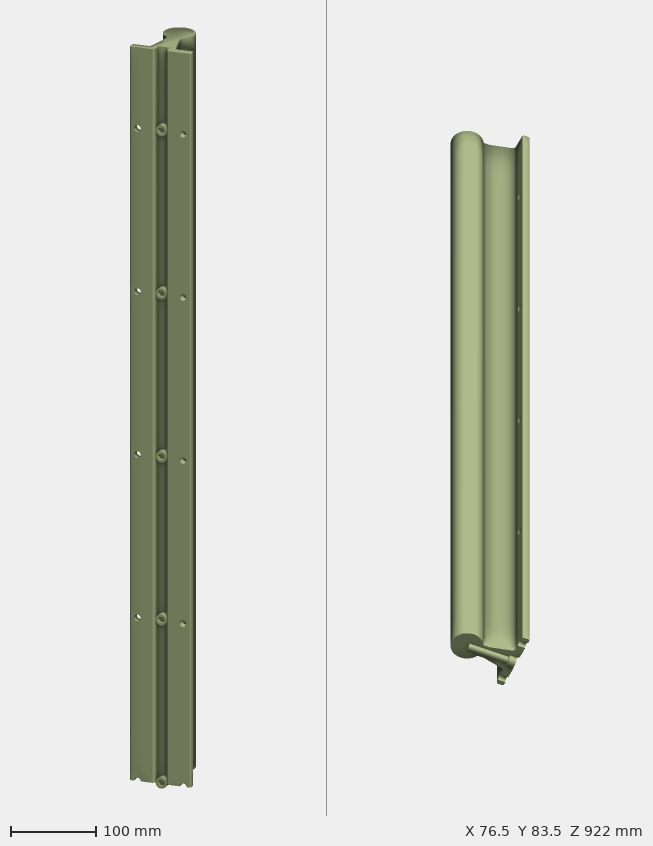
import cadquery as cq
import math

OVERALL_LENGTH = 922.0

SHAFT_DIAMETER = 39.0
SHAFT_AXIS_Y = 64.0

BOLT_COUNT = 5
TOP_MARGIN = 101.0
SHANK_DIAMETER = 9.0
SHANK_TIP_Y = 63.0
HEAD_DIAMETER = 14.0
HEAD_HEIGHT = 9.0
SOCKET_ACROSS_FLATS = 7.0
SOCKET_DEPTH = 5.0

RAIL_LENGTH = OVERALL_LENGTH - HEAD_DIAMETER / 2
BASE_WIDTH = 76.5
FLANGE_THICKNESS = 9.0
FLANGE_CORNER_RADIUS = 2.0
WEB_FOOT_WIDTH = 31.0
WEB_FOOT_RADIUS = 5.0
NECK_WIDTH = 17.5
NECK_SHOULDER_Y = 39.0

SLOT_WIDTH = 15.0
SLOT_MOUTH_WIDTH = 19.0
SLOT_MOUTH_HEIGHT = 2.0
SLOT_DEPTH = 12.0

MOUNTING_HOLE_DIAMETER = 8.0
MOUNTING_HOLE_SPACING = 57.0

BOLT_PITCH = (RAIL_LENGTH - TOP_MARGIN) / (BOLT_COUNT - 1)
BOLT_STATIONS = [i * BOLT_PITCH for i in range(BOLT_COUNT)]
HEAD_FACE_Y = SLOT_DEPTH - HEAD_HEIGHT


def cylinder_along_y(diameter, x, z, start_y, end_y):
    plane = cq.Workplane("XZ", origin=(x, start_y, z))
    return plane.circle(diameter / 2).extrude(start_y - end_y)


def shank(z):
    """Bolt shank, also used to cut its matching hole."""
    return cylinder_along_y(SHANK_DIAMETER, 0, z, SLOT_DEPTH, SHANK_TIP_Y)


def make_bolt(z):
    """Socket head bolt whose head bears on the slot roof."""
    head = cylinder_along_y(HEAD_DIAMETER, 0, z, HEAD_FACE_Y, SLOT_DEPTH)
    socket_across_corners = SOCKET_ACROSS_FLATS / math.cos(math.pi / 6)
    socket = (
        cq.Workplane("XZ", origin=(0, HEAD_FACE_Y, z))
        .polygon(6, socket_across_corners)
        .extrude(-SOCKET_DEPTH)
    )
    return head.union(shank(z)).cut(socket)


def make_shaft():
    """Round shaft with a blind hole for every bolt."""
    shaft = cq.Workplane("XY").center(0, SHAFT_AXIS_Y).circle(SHAFT_DIAMETER / 2).extrude(RAIL_LENGTH)
    for z in BOLT_STATIONS:
        shaft = shaft.cut(shank(z))
    return shaft


def round_long_edges(rail, x, y, radius):
    """Fillet the pair of lengthwise edges at (-x, y) and (x, y)."""
    for edge_x in (-x, x):
        selector = cq.selectors.NearestToPointSelector((edge_x, y, RAIL_LENGTH / 2))
        rail = rail.edges(selector).fillet(radius)
    return rail


def make_rail_blank():
    """Extruded T-shaped rail with a cradle on top for the shaft."""
    half_base = BASE_WIDTH / 2
    half_foot = WEB_FOOT_WIDTH / 2
    half_neck = NECK_WIDTH / 2
    shaft_radius = SHAFT_DIAMETER / 2
    cradle_rim_y = SHAFT_AXIS_Y - math.sqrt(shaft_radius**2 - half_neck**2)
    cradle_bottom_y = SHAFT_AXIS_Y - shaft_radius
    blank = (
        cq.Workplane("XY")
        .moveTo(-half_base, 0)
        .lineTo(half_base, 0)
        .lineTo(half_base, FLANGE_THICKNESS)
        .lineTo(half_foot, FLANGE_THICKNESS)
        .lineTo(half_neck, NECK_SHOULDER_Y)
        .lineTo(half_neck, cradle_rim_y)
        .threePointArc((0, cradle_bottom_y), (-half_neck, cradle_rim_y))
        .lineTo(-half_neck, NECK_SHOULDER_Y)
        .lineTo(-half_foot, FLANGE_THICKNESS)
        .lineTo(-half_base, FLANGE_THICKNESS)
        .close()
        .extrude(RAIL_LENGTH)
    )
    blank = round_long_edges(blank, half_base, 0, FLANGE_CORNER_RADIUS)
    blank = round_long_edges(blank, half_base, FLANGE_THICKNESS, FLANGE_CORNER_RADIUS)
    return round_long_edges(blank, half_foot, FLANGE_THICKNESS, WEB_FOOT_RADIUS)


def make_head_slot():
    """Full-length slot with parallel walls and a flared mouth."""
    half_slot = SLOT_WIDTH / 2
    half_mouth = SLOT_MOUTH_WIDTH / 2
    outline = [
        (-half_mouth, 0),
        (half_mouth, 0),
        (half_slot, SLOT_MOUTH_HEIGHT),
        (half_slot, SLOT_DEPTH),
        (-half_slot, SLOT_DEPTH),
        (-half_slot, SLOT_MOUTH_HEIGHT),
    ]
    return cq.Workplane("XY").polyline(outline).close().extrude(RAIL_LENGTH)


def make_rail():
    """Rail with its slot, bolt holes and mounting holes; the lowest holes are halves."""
    rail = make_rail_blank().cut(make_head_slot())
    for z in BOLT_STATIONS:
        rail = rail.cut(shank(z))
        for x in (-MOUNTING_HOLE_SPACING / 2, MOUNTING_HOLE_SPACING / 2):
            rail = rail.cut(cylinder_along_y(MOUNTING_HOLE_DIAMETER, x, z, 0, FLANGE_THICKNESS))
    return rail


shaft = make_shaft().solids()
rail = make_rail().solids()
bolts = [make_bolt(z).solids() for z in BOLT_STATIONS]

result = cq.Compound.makeCompound([shaft.val(), rail.val(), *[bolt.val() for bolt in bolts]])